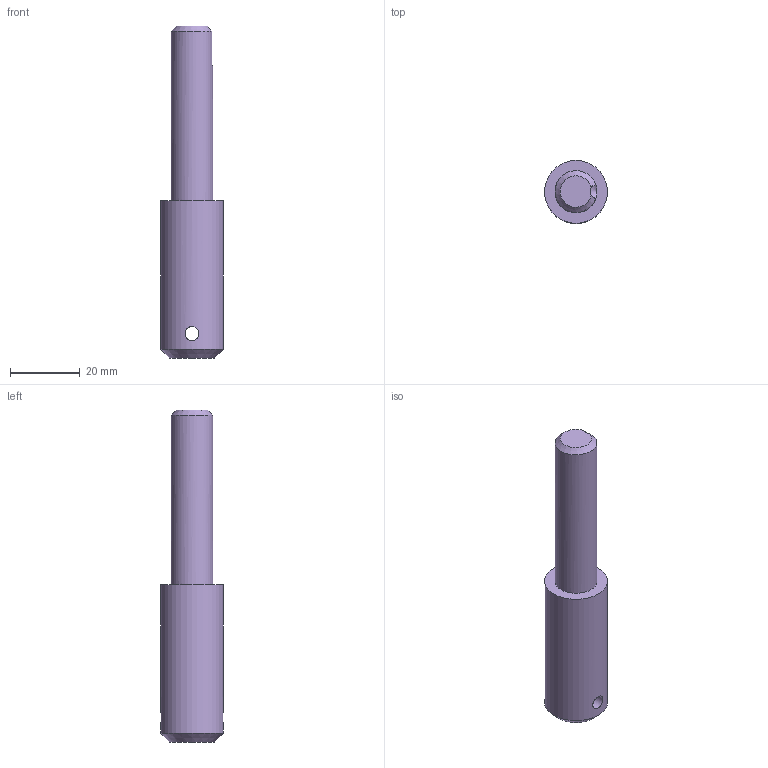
import cadquery as cq
import math

total_length = 95.0
body_diameter = 18.0
body_length = 45.0
body_chamfer = 2.5
shank_diameter = 12.0
shank_chamfer = 1.5

cross_hole_diameter = 4.0
cross_hole_height = 7.0

groove_diameter = 4.0
groove_depth = 11.0
drill_point_angle = 118.0

shank_length = total_length - body_length


def make_body():
    body = cq.Workplane("XY").circle(body_diameter / 2).extrude(body_length)
    return body.faces("<Z").chamfer(body_chamfer)


def make_shank():
    shank = cq.Workplane("XY").workplane(offset=body_length)
    shank = shank.circle(shank_diameter / 2).extrude(shank_length)
    return shank.faces(">Z").chamfer(shank_chamfer)


def make_cross_hole():
    hole = cq.Workplane("XZ", origin=(0, 0, cross_hole_height))
    return hole.circle(cross_hole_diameter / 2).extrude(body_diameter, both=True)


def make_groove():
    """Vertical drill with a conical point, centred on the shank surface."""
    radius = groove_diameter / 2
    point_height = radius / math.tan(math.radians(drill_point_angle / 2))
    shoulder_height = total_length - groove_depth
    half_profile = (
        cq.Workplane("XZ", origin=(shank_diameter / 2, 0, 0))
        .moveTo(0, shoulder_height - point_height)
        .lineTo(radius, shoulder_height)
        .lineTo(radius, total_length)
        .lineTo(0, total_length)
        .close()
    )
    return half_profile.revolve(360, (0, 0, 0), (0, 1, 0))


result = make_body().union(make_shank()).cut(make_cross_hole()).cut(make_groove())